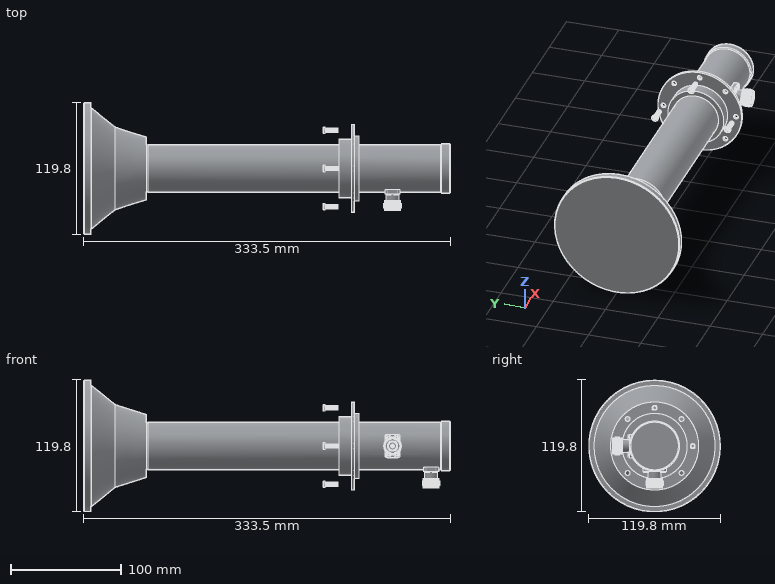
import cadquery as cq
import math


RIM_DIAMETER = 119.8
RIM_RADIUS = RIM_DIAMETER / 2
RIM_LENGTH = 6.7
RIM_BEVEL = 0.7
HORN_MOUTH_RADIUS = 55.0
HORN_LIP_END = 7.5
HORN_KNEE_X = 28.7
HORN_KNEE_RADIUS = 37.7
HORN_END_X = 57.0
HORN_END_RADIUS = 28.7

TUBE_RADIUS = 21.7
NECK_LENGTH = 1.7
NECK_RADIUS = 21.5
TOTAL_LENGTH = 333.5
CAP_START_X = 324.5
CAP_RADIUS = 22.7
CAP_BEVEL = 1.0

COLLAR_START_X = 232.2
COLLAR_RADIUS = 26.7
FLANGE_START_X = 243.5
FLANGE_THICKNESS = 2.7
FLANGE_RADIUS = 40.0
BOSS_END_X = 250.5
BOSS_RADIUS = 29.7
BOLT_CIRCLE_RADIUS = 34.7
FLANGE_HOLE_COUNT = 8
FLANGE_HOLE_DIAMETER = 4.5

SCREW_COUNT = 4
SCREW_START_X = 217.5
SCREW_END_X = 231.5
SCREW_LENGTH = SCREW_END_X - SCREW_START_X
HEAD_LENGTH = 2.0
HEAD_RADIUS = 3.0
HEAD_BEVEL = 0.7
SHANK_RADIUS = 2.0
SOCKET_WIDTH = 2.5
SOCKET_DEPTH = 1.5
THREAD_PITCH = 0.77
THREAD_DEPTH = 0.5

FIRST_CONNECTOR_X = 281.0
SECOND_CONNECTOR_X = 316.0
PLATE_WIDTH = 14.0
PLATE_LENGTH = 21.5
PLATE_CORNER_RADIUS = 2.5
PLATE_TOP = 23.0
PLATE_ROOT = 19.0
STUD_SPACING_X = 7.5
STUD_SPACING_Y = 15.5
STUD_RADIUS = 2.5
STUD_TOP = 24.0
STUD_SOCKET_DIAMETER = 2.7
STUD_SOCKET_DEPTH = 0.7
STEM_RADIUS = 6.0
NUT_START = 29.5
NUT_END = 38.0
NUT_RADIUS = 7.5
BAND_RADIUS = 8.0
BAND_START = 32.0
BAND_END = 36.0
KNURL_COUNT = 30
KNURL_WIDTH = 0.7
KNURL_DEPTH = 0.7
BORE_RADIUS = 3.7
BORE_DEPTH = 8.0
COUNTERBORE_RADIUS = 4.7
COUNTERBORE_DEPTH = 1.0
PIN_RADIUS = 1.7
PIN_TOP = 34.0
PIN_HOLE_RADIUS = 0.85
PIN_HOLE_DEPTH = 1.7


def disc_on_axis(start_x, end_x, radius):
    """Solid disc on the antenna axis between two X positions."""
    return cq.Workplane("YZ", origin=(start_x, 0, 0)).circle(radius).extrude(end_x - start_x)


def make_horn_and_tube():
    profile = [
        (0, 0),
        (0, RIM_RADIUS - RIM_BEVEL),
        (RIM_BEVEL, RIM_RADIUS),
        (RIM_LENGTH, RIM_RADIUS),
        (RIM_LENGTH, HORN_MOUTH_RADIUS),
        (HORN_LIP_END, HORN_MOUTH_RADIUS),
        (HORN_KNEE_X, HORN_KNEE_RADIUS),
        (HORN_END_X, HORN_END_RADIUS),
        (HORN_END_X, NECK_RADIUS),
        (HORN_END_X + NECK_LENGTH, NECK_RADIUS),
        (HORN_END_X + NECK_LENGTH, TUBE_RADIUS),
        (CAP_START_X, TUBE_RADIUS),
        (CAP_START_X + CAP_BEVEL, CAP_RADIUS),
        (TOTAL_LENGTH - CAP_BEVEL, CAP_RADIUS),
        (TOTAL_LENGTH, CAP_RADIUS - CAP_BEVEL),
        (TOTAL_LENGTH, 0),
    ]
    return cq.Workplane("XZ").polyline(profile).close().revolve(360, (0, 0, 0), (1, 0, 0))


def make_flange():
    flange_end_x = FLANGE_START_X + FLANGE_THICKNESS
    plate = disc_on_axis(FLANGE_START_X, flange_end_x, FLANGE_RADIUS)
    holes = (
        cq.Workplane("YZ", origin=(FLANGE_START_X, 0, 0))
        .polarArray(BOLT_CIRCLE_RADIUS, 0, 360, FLANGE_HOLE_COUNT)
        .circle(FLANGE_HOLE_DIAMETER / 2)
        .extrude(FLANGE_THICKNESS)
    )
    collar = disc_on_axis(COLLAR_START_X, FLANGE_START_X, COLLAR_RADIUS)
    boss = disc_on_axis(flange_end_x, BOSS_END_X, BOSS_RADIUS)
    return plate.cut(holes).union(collar).union(boss)


def make_connector_plate():
    """Mounting plate, square to the Z axis, with a socket-head stud in each corner."""
    plate = (
        cq.Workplane("XY", origin=(0, 0, PLATE_ROOT))
        .rect(PLATE_WIDTH, PLATE_LENGTH)
        .extrude(PLATE_TOP - PLATE_ROOT)
        .edges("|Z")
        .fillet(PLATE_CORNER_RADIUS)
    )
    studs = (
        cq.Workplane("XY", origin=(0, 0, PLATE_TOP))
        .rect(STUD_SPACING_X, STUD_SPACING_Y, forConstruction=True)
        .vertices()
        .circle(STUD_RADIUS)
        .extrude(STUD_TOP - PLATE_TOP)
    )
    sockets = (
        cq.Workplane("XY", origin=(0, 0, STUD_TOP))
        .rect(STUD_SPACING_X, STUD_SPACING_Y, forConstruction=True)
        .vertices()
        .polygon(6, STUD_SOCKET_DIAMETER)
        .extrude(-STUD_SOCKET_DEPTH)
    )
    return plate.union(studs).cut(sockets)


def make_connector_barrel():
    """Stem, coupling nut and centre pin, turned about the Z axis."""
    bore_floor = NUT_END - BORE_DEPTH
    counterbore_floor = NUT_END - COUNTERBORE_DEPTH
    pin_hole_floor = PIN_TOP - PIN_HOLE_DEPTH
    profile = [
        (0, PLATE_ROOT),
        (STEM_RADIUS, PLATE_ROOT),
        (STEM_RADIUS, NUT_START),
        (NUT_RADIUS, NUT_START),
        (NUT_RADIUS, BAND_START),
        (BAND_RADIUS, BAND_START),
        (BAND_RADIUS, BAND_END),
        (NUT_RADIUS, BAND_END),
        (NUT_RADIUS, NUT_END),
        (COUNTERBORE_RADIUS, NUT_END),
        (COUNTERBORE_RADIUS, counterbore_floor),
        (BORE_RADIUS, counterbore_floor),
        (BORE_RADIUS, bore_floor),
        (PIN_RADIUS, bore_floor),
        (PIN_RADIUS, PIN_TOP),
        (PIN_HOLE_RADIUS, PIN_TOP),
        (PIN_HOLE_RADIUS, pin_hole_floor),
        (0, pin_hole_floor),
    ]
    barrel = cq.Workplane("XZ").polyline(profile).close().revolve(360, (0, 0, 0), (0, 1, 0))
    knurl_floor = NUT_RADIUS - KNURL_DEPTH
    groove_cut_height = BAND_RADIUS - knurl_floor
    knurl_grooves = (
        cq.Workplane("XY", origin=(0, 0, NUT_START))
        .polarArray(BAND_RADIUS, 0, 360, KNURL_COUNT)
        .rect(2 * groove_cut_height, KNURL_WIDTH)
        .extrude(NUT_END - NUT_START)
    )
    return barrel.cut(knurl_grooves)


def make_antenna():
    connector = make_connector_plate().union(make_connector_barrel())
    front_connector = connector.rotate((0, 0, 0), (1, 0, 0), 90).translate((FIRST_CONNECTOR_X, 0, 0))
    lower_connector = connector.rotate((0, 0, 0), (1, 0, 0), 180).translate((SECOND_CONNECTOR_X, 0, 0))
    return make_horn_and_tube().union(make_flange()).union(front_connector).union(lower_connector)


def make_threaded_shank():
    """Shank along +X whose thread is a row of V-shaped ring grooves."""
    groove_count = math.floor((SCREW_LENGTH - HEAD_LENGTH) / THREAD_PITCH)
    thread_start = SCREW_LENGTH - groove_count * THREAD_PITCH
    profile = [(HEAD_LENGTH, 0), (HEAD_LENGTH, SHANK_RADIUS), (thread_start, SHANK_RADIUS)]
    for index in range(groove_count):
        crest_x = thread_start + index * THREAD_PITCH
        profile.append((crest_x + THREAD_PITCH / 2, SHANK_RADIUS - THREAD_DEPTH))
        profile.append((crest_x + THREAD_PITCH, SHANK_RADIUS))
    profile.append((SCREW_LENGTH, 0))
    return cq.Workplane("XZ").polyline(profile).close().revolve(360, (0, 0, 0), (1, 0, 0))


def make_screw(angle):
    """Socket-head screw pointing along +X, at an angle around the antenna axis."""
    head = disc_on_axis(0, HEAD_LENGTH, HEAD_RADIUS).faces("<X").chamfer(HEAD_BEVEL)
    shank = make_threaded_shank()
    socket = cq.Workplane("YZ").polygon(6, SOCKET_WIDTH).extrude(SOCKET_DEPTH)
    screw = head.union(shank).cut(socket)
    return screw.translate((SCREW_START_X, 0, BOLT_CIRCLE_RADIUS)).rotate((0, 0, 0), (1, 0, 0), angle)


antenna = make_antenna()
screws = [make_screw(index * 360 / SCREW_COUNT) for index in range(SCREW_COUNT)]

result = cq.Compound.makeCompound([antenna.val(), *[screw.val() for screw in screws]])